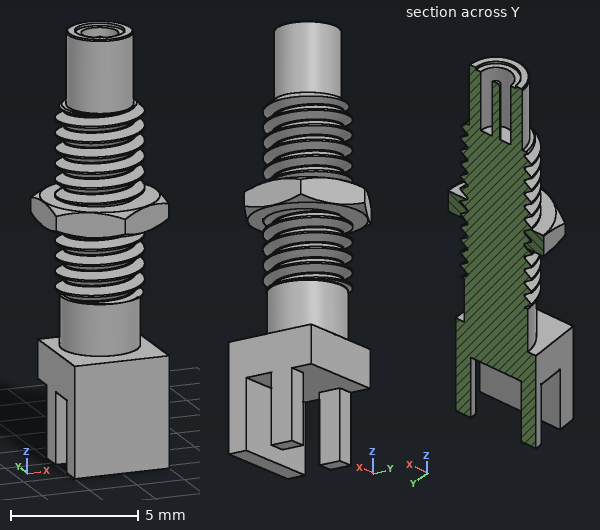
import cadquery as cq
import math

total_height = 17.53
leg_length = 3.0
block_top = 4.63
thread_bottom = 6.75
thread_top = 14.51

neck_radius = 1.6
tube_radius = 1.33
tube_rim_chamfer = 0.05
rim_recess_radius = 0.98
rim_recess_depth = 0.1
bore_radius = 0.74
bore_bottom = thread_top

pin_radius = 0.2
pin_tip_fillet = 0.12
pin_tip_depth = 0.28

thread_pitch = 0.63
thread_radius = 1.77
core_radius = 1.42
crest_flat = 0.07
root_flat = 0.05
flank_run = (thread_pitch - crest_flat - root_flat) / 2
flank_slope = flank_run / (thread_radius - core_radius)
thread_end_radius = 1.5
crest_offset = -0.04
ridge_embed = 0.02
trim_margin = 0.18

block_width = 4.0
block_front = -2.4
block_back = 1.6
front_plate_thickness = 0.86
leg_back = 0.67
leg_thickness = 1.0
leg_width = 0.75

nut_across_flats = 4.77
nut_thickness = 1.05
nut_bottom = 9.71
nut_face_radius = 2.37
nut_chamfer_angle = 30.0


def cylinder(radius, bottom, top):
    return cq.Workplane("XY").workplane(offset=bottom).circle(radius).extrude(top - bottom)


def box_between(x_range, y_range, z_range):
    size = [high - low for low, high in (x_range, y_range, z_range)]
    corner = (x_range[0], y_range[0], z_range[0])
    return cq.Workplane("XY").box(*size, centered=False).translate(corner)


def revolve_about_z(outline):
    """Solid of revolution from an outline of (radius, height) points."""
    return cq.Workplane("XZ").polyline(outline).close().revolve(360, (0, 0, 0), (0, 1, 0))


def make_thread_ridge():
    """Trapezoidal helical ridge, rooted inside the core, that runs past both ends of the thread."""
    start = thread_bottom + crest_offset - thread_pitch
    turns = math.ceil((thread_top - start) / thread_pitch) + 1
    foot_radius = core_radius - ridge_embed
    half_crest = crest_flat / 2
    half_foot = half_crest + (thread_radius - foot_radius) * flank_slope
    helix = cq.Wire.makeHelix(thread_pitch, turns * thread_pitch, foot_radius)
    ridge = (
        cq.Workplane("XZ")
        .polyline([
            (foot_radius, -half_foot),
            (thread_radius, -half_crest),
            (thread_radius, half_crest),
            (foot_radius, half_foot),
        ])
        .close()
        .sweep(cq.Workplane(helix), isFrenet=True)
    )
    return ridge.translate((0, 0, start))


def make_threaded_section():
    """Core cylinder carrying the ridge, trimmed flat below and to a 45 degree cone above."""
    trim_radius = thread_radius + trim_margin
    envelope = revolve_about_z([
        (0, thread_bottom),
        (trim_radius, thread_bottom),
        (trim_radius, thread_top - (trim_radius - thread_end_radius)),
        (thread_end_radius, thread_top),
        (0, thread_top),
    ])
    core = cylinder(core_radius, thread_bottom, thread_top)
    return core.union(make_thread_ridge().intersect(envelope))


def make_block():
    half_width = block_width / 2
    full_width = (-half_width, half_width)
    slab = box_between(full_width, (block_front, block_back), (leg_length, block_top))
    plate_back = block_front + front_plate_thickness
    front_plate = box_between(full_width, (block_front, plate_back), (0, block_top))
    block = slab.union(front_plate)
    for leg_left in (-half_width, half_width - leg_width):
        leg = box_between(
            (leg_left, leg_left + leg_width), (leg_back - leg_thickness, leg_back), (0, block_top)
        )
        block = block.union(leg)
    return block


def make_tube():
    """Mating tube with a stepped bore and the centre pin standing on the bore floor."""
    tube = cylinder(tube_radius, thread_top, total_height)
    tube = tube.faces(">Z").chamfer(tube_rim_chamfer)
    tube = tube.cut(cylinder(bore_radius, bore_bottom, total_height))
    tube = tube.cut(cylinder(rim_recess_radius, total_height - rim_recess_depth, total_height))
    pin = cylinder(pin_radius, bore_bottom, total_height - pin_tip_depth)
    pin = pin.faces(">Z").fillet(pin_tip_fillet)
    return tube, pin


def make_connector():
    tube, pin = make_tube()
    neck = cylinder(neck_radius, block_top, thread_bottom)
    return make_threaded_section().union(neck).union(make_block()).union(tube).union(pin)


def make_nut(connector):
    """Hex nut chamfered on both faces, its bore threaded to fit the connector."""
    hexagon = (
        cq.Workplane("XY")
        .polygon(6, nut_across_flats, circumscribed=True)
        .extrude(nut_thickness)
    )
    corner_radius = nut_across_flats / math.sqrt(3)
    drop = (corner_radius - nut_face_radius) * math.tan(math.radians(nut_chamfer_angle))
    envelope = revolve_about_z([
        (0, 0),
        (nut_face_radius, 0),
        (corner_radius, drop),
        (corner_radius, nut_thickness - drop),
        (nut_face_radius, nut_thickness),
        (0, nut_thickness),
    ])
    nut = hexagon.intersect(envelope).translate((0, 0, nut_bottom))
    return nut.cut(connector)


connector = make_connector()
nut = make_nut(connector)

result = cq.Compound.makeCompound([connector.val(), nut.val()])